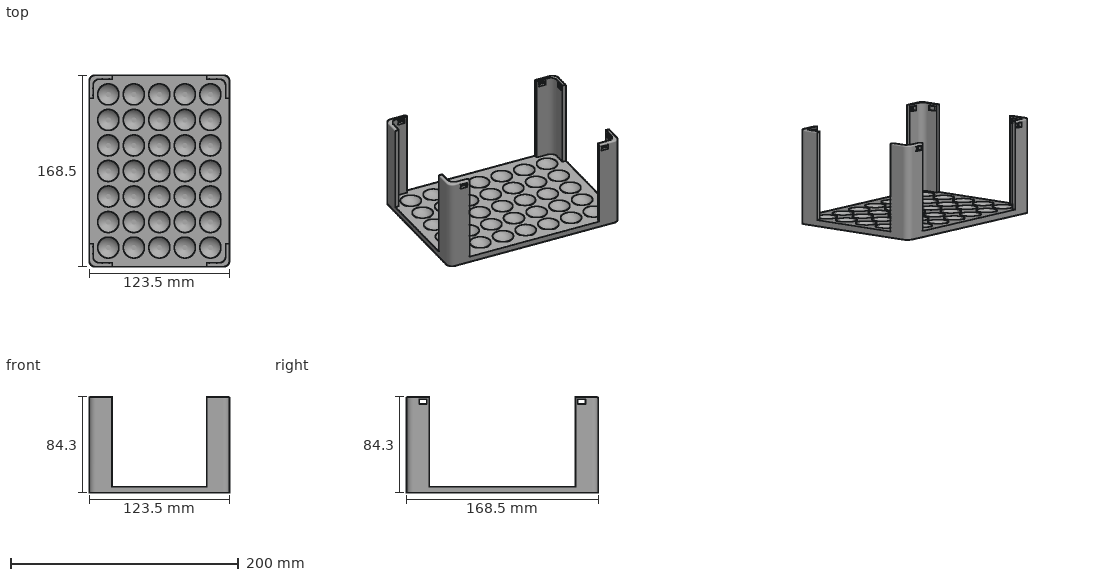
import cadquery as cq

LENGTH = 168.5
WIDTH = 123.5
HEIGHT = 84.3
PLATE_THICKNESS = 5.5
CORNER_RADIUS = 5.7

LEG_REACH = 20.2
WALL = 3.5
RIM_FILLET = 1.2

WINDOW_WIDTH = 6.4
WINDOW_HEIGHT = 4.0
WINDOW_TOP_DROP = 2.0
WINDOW_END_MARGIN = 2.4
POCKET_DEPTH = 1.3

COLUMNS = 5
ROWS = 7
PITCH = 22.5
DIMPLE_DIAMETER = 18.5
DIMPLE_FLAT_DIAMETER = 4.5
DIMPLE_DEPTH = 4.7


def rounded_block(width, length, bottom, top):
    block = cq.Workplane("XY").workplane(offset=bottom).rect(width, length).extrude(top - bottom)
    return block.edges("|Z").fillet(CORNER_RADIUS)


def centred_box(x_size, y_size, z_size, z_middle):
    return cq.Workplane("XY").box(x_size, y_size, z_size).translate((0, 0, z_middle))


def tray_with_legs():
    shell = rounded_block(WIDTH, LENGTH, 0, HEIGHT).faces(">Z").edges().fillet(RIM_FILLET)
    cavity = rounded_block(WIDTH - 2 * WALL, LENGTH - 2 * WALL, PLATE_THICKNESS, HEIGHT)
    gap_height = HEIGHT - PLATE_THICKNESS
    gap_middle = PLATE_THICKNESS + gap_height / 2
    front_gap = centred_box(WIDTH - 2 * LEG_REACH, LENGTH, gap_height, gap_middle)
    side_gap = centred_box(WIDTH, LENGTH - 2 * LEG_REACH, gap_height, gap_middle)
    return shell.cut(cavity).cut(front_gap).cut(side_gap)


def leg_openings():
    z_middle = HEIGHT - WINDOW_TOP_DROP - WINDOW_HEIGHT / 2
    inset = LEG_REACH - WINDOW_END_MARGIN - WINDOW_WIDTH / 2
    x_inset = WIDTH / 2 - inset
    y_inset = LENGTH / 2 - inset
    pocket_span = LENGTH - 2 * WALL + 2 * POCKET_DEPTH
    window_bar = centred_box(WIDTH, WINDOW_WIDTH, WINDOW_HEIGHT, z_middle)
    pocket_bar = centred_box(WINDOW_WIDTH, pocket_span, WINDOW_HEIGHT, z_middle)
    openings = cq.Workplane("XY")
    for side in (-1, 1):
        openings = openings.union(window_bar.translate((0, side * y_inset, 0)))
        openings = openings.union(pocket_bar.translate((side * x_inset, 0, 0)))
    return openings


def dimples():
    rim = DIMPLE_DIAMETER / 2
    flat = DIMPLE_FLAT_DIAMETER / 2
    centre = (rim**2 - flat**2 - DIMPLE_DEPTH**2) / (2 * DIMPLE_DEPTH)
    radius = (rim**2 + centre**2) ** 0.5
    floor = PLATE_THICKNESS - DIMPLE_DEPTH
    ball = cq.Workplane("XY").sphere(radius).translate((0, 0, PLATE_THICKNESS + centre))
    dimple_space = centred_box(DIMPLE_DIAMETER, DIMPLE_DIAMETER, DIMPLE_DEPTH, floor + DIMPLE_DEPTH / 2)
    bowl = ball.intersect(dimple_space)
    spots = cq.Workplane("XY").rarray(PITCH, PITCH, COLUMNS, ROWS)
    return spots.eachpoint(lambda place: bowl.val().moved(place), combine=False)


result = tray_with_legs().cut(leg_openings()).cut(dimples())